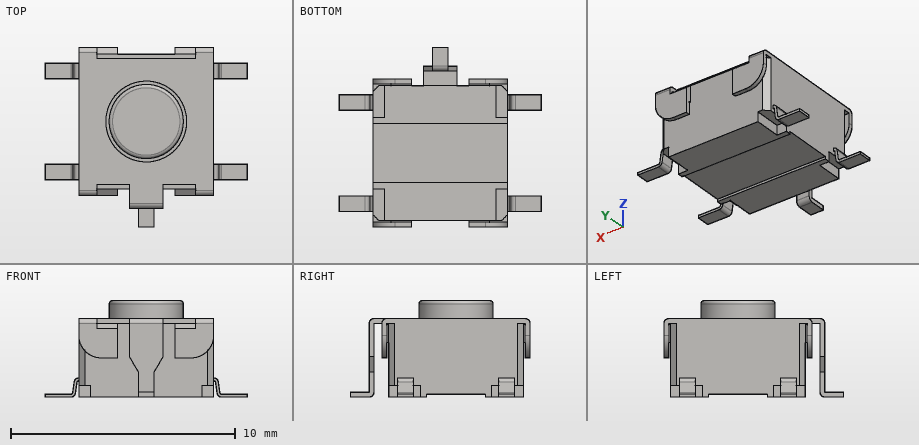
import cadquery as cq
import math

embed = 0.09

lead_span = 9.0
overall_depth = 8.0
button_top = 4.3

cover_width = 6.0
cover_depth = 6.6
cover_top = 3.5
sheet = 0.225
button_hole_diameter = 3.6
slot_width = 4.39
slot_inner_y = 2.8
flange_gap = 2.56
flange_bottom = 1.75
flange_corner_radius = 1.0

arm_width = 1.5
arm_outer_y = -3.87
arm_tip_y = cover_depth / 2 - overall_depth
arm_foot_width = 0.7
taper_top = 1.8
taper_bottom = 1.125

body_width = cover_width
body_depth = 6.0
body_top = cover_top - sheet
body_chamfer = 0.27
notch_width = 0.52
notch_length = 1.41
notch_height = 0.51
groove_width = 2.61
groove_depth = 0.13

nub_bottom = 2.42
nub_shoulder = 3.05

button_diameter = 3.3
button_fillet = 0.15

lead_width = 0.7
lead_spacing = 4.5
lead_sheet = 0.135
lead_top = 0.855
lead_leg_x = 3.19
lead_leg_angle = math.radians(8)
lead_inner_radius = 0.07


def block(x_range, y_range, z_range):
    """Axis-aligned box between the given limits."""
    size = [high - low for low, high in (x_range, y_range, z_range)]
    corner = (x_range[0], y_range[0], z_range[0])
    return cq.Workplane("XY").box(*size, centered=False).translate(corner)


def make_body():
    half_x = body_width / 2
    half_y = body_depth / 2
    body = block((-half_x, half_x), (-half_y, half_y), (0, body_top))
    body = body.edges("|Z").chamfer(body_chamfer)
    notch = cq.Workplane("XY").box(2 * notch_width, 2 * notch_length, 2 * notch_height)
    for side_x in (-1, 1):
        for side_y in (-1, 1):
            body = body.cut(notch.translate((side_x * half_x, side_y * half_y, 0)))
    groove = cq.Workplane("XY").box(body_width, groove_width, 2 * groove_depth)
    return body.cut(groove)


def make_nub():
    """Wedge on the -Y wall at +X, flush with the outer face of the flange."""
    wall_y = -body_depth / 2
    outer_y = -cover_depth / 2
    profile = [
        (wall_y + embed, nub_bottom),
        (outer_y, nub_bottom),
        (outer_y, nub_shoulder),
        (wall_y, body_top),
        (wall_y + embed, body_top),
    ]
    nub_width = (slot_width - flange_gap) / 2
    nub = cq.Workplane("YZ").polyline(profile).close().extrude(nub_width)
    return nub.translate((flange_gap / 2, 0, 0))


def make_cover():
    half_x = cover_width / 2
    half_y = cover_depth / 2
    shell = block((-half_x, half_x), (-half_y, half_y), (flange_bottom, cover_top))
    shell = shell.edges("|X and >Z").fillet(sheet)
    shell = shell.edges("|Y and <Z").fillet(flange_corner_radius)
    inside_y = half_y - sheet
    shell = shell.cut(block((-half_x, half_x), (-inside_y, inside_y), (flange_bottom, body_top)))

    window = (-slot_width / 2, slot_width / 2)
    gap = (-flange_gap / 2, flange_gap / 2)
    for edge_range in ((-half_y, -slot_inner_y), (slot_inner_y, half_y)):
        shell = shell.cut(block(window, edge_range, (nub_bottom, cover_top)))
        shell = shell.cut(block(gap, edge_range, (flange_bottom, cover_top)))

    hole = cq.Workplane("XY").circle(button_hole_diameter / 2).extrude(cover_top)
    return shell.cut(hole)


def make_arm():
    inner_y = arm_outer_y + sheet
    side_profile = (
        cq.Workplane("YZ")
        .moveTo(-slot_inner_y, cover_top)
        .lineTo(inner_y, cover_top)
        .radiusArc((arm_outer_y, body_top), -sheet)
        .lineTo(arm_outer_y, sheet)
        .lineTo(arm_tip_y, sheet)
        .lineTo(arm_tip_y, 0)
        .lineTo(arm_outer_y, 0)
        .radiusArc((inner_y, sheet), -sheet)
        .lineTo(inner_y, body_top)
        .lineTo(-slot_inner_y, body_top)
        .close()
        .extrude(arm_width / 2, both=True)
    )
    half_wide = arm_width / 2
    half_narrow = arm_foot_width / 2
    front_outline = [
        (-half_wide, cover_top),
        (-half_wide, taper_top),
        (-half_narrow, taper_bottom),
        (-half_narrow, 0),
        (half_narrow, 0),
        (half_narrow, taper_bottom),
        (half_wide, taper_top),
        (half_wide, cover_top),
    ]
    blank = cq.Workplane("XZ").polyline(front_outline).close().extrude(-arm_tip_y)
    return side_profile.intersect(blank)


def make_button():
    button = cq.Workplane("XY").circle(button_diameter / 2).extrude(button_top - body_top + embed)
    return button.faces(">Z").edges().fillet(button_fillet).translate((0, 0, body_top - embed))


def make_lead():
    """Lead on the +X side, centred on Y = 0."""
    slope = math.tan(lead_leg_angle)
    leg_run = lead_sheet / math.cos(lead_leg_angle)
    root_x = body_width / 2 - embed
    tip_x = lead_span / 2
    shoulder_bottom = lead_top - lead_sheet

    def leg_outer_x(z):
        return lead_leg_x + (lead_top - z) * slope

    top_outer = (leg_outer_x(lead_top), lead_top)
    foot_inner = (leg_outer_x(lead_sheet), lead_sheet)
    foot_outer = (leg_outer_x(0) - leg_run, 0)
    top_inner = (leg_outer_x(shoulder_bottom) - leg_run, shoulder_bottom)
    profile = [
        (root_x, lead_top),
        top_outer,
        foot_inner,
        (tip_x, lead_sheet),
        (tip_x, 0),
        foot_outer,
        top_inner,
        (root_x, shoulder_bottom),
    ]
    lead = cq.Workplane("XZ").polyline(profile).close().extrude(lead_width / 2, both=True)
    outer_radius = lead_inner_radius + lead_sheet
    bends = [
        (top_outer, outer_radius),
        (foot_outer, outer_radius),
        (foot_inner, lead_inner_radius),
        (top_inner, lead_inner_radius),
    ]
    for (x, z), radius in bends:
        lead = lead.edges(cq.selectors.NearestToPointSelector((x, 0, z))).fillet(radius)
    return lead


result = make_body().union(make_cover()).union(make_arm()).union(make_button())

nub = make_nub()
nub_pair = nub.union(nub.mirror("YZ"))
result = result.union(nub_pair).union(nub_pair.mirror("XZ"))

lead = make_lead()
lead_pair = lead.union(lead.mirror("YZ"))
for lead_y in (-lead_spacing / 2, lead_spacing / 2):
    result = result.union(lead_pair.translate((0, lead_y, 0)))